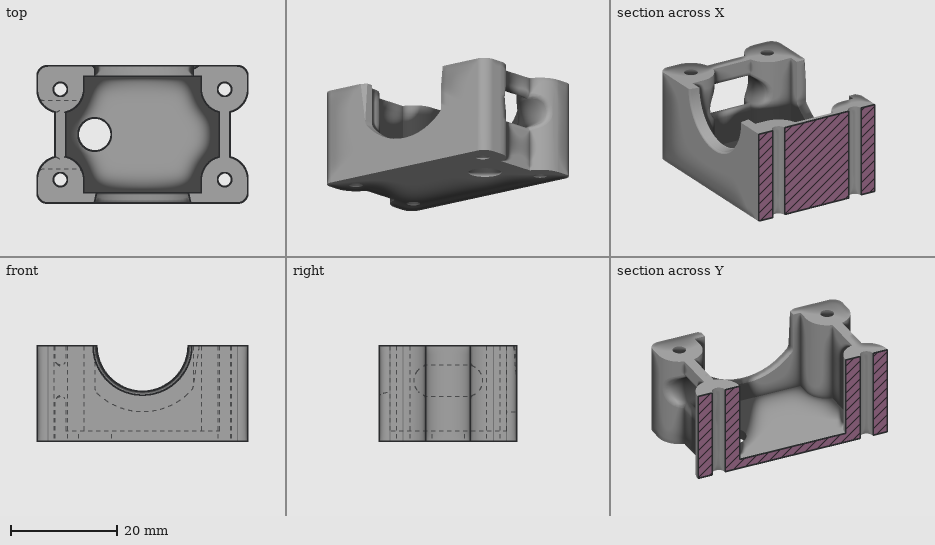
import cadquery as cq
import math

height = 18.0
depth = 25.9
length = 39.74
wall = 2.0
floor = 2.0
corner_radius = 2.0

boss_radius = 4.4
screw_diameter = 2.58
boss_x = length / 2 - boss_radius
boss_y = 8.5
boss_signs = [(sx, sy) for sx in (-1, 1) for sy in (-1, 1)]

cavity_length = 29.0
cavity_depth = depth - 2 * wall
body_length = cavity_length + 2 * wall

floor_hole_diameter = 6.2
floor_hole_x = -9.0

saddle_inner_radius = 8.6
saddle_lip_radius = 8.7
saddle_taper_radius = 8.97
saddle_mouth_radius = 9.32
saddle_lip_width = 0.23
saddle_rounding = 0.5
saddle_bulge = 0.07

opening_radius = 12.4
opening_left = -8.95
opening_right = 9.54
opening_left_corner = 1.0
opening_right_corner = 1.5

flare_right = (1.1, 0.65, 7.5)
flare_left = (0.45, 0.5, 4.0)

window_height = 6.0
window_centers = 6.9
window_z = 11.45
window_rim_gap = 0.002
window_rounding = (wall - window_rim_gap) / 2

cut_margin = 1.0


def corner_post(sx, sy):
    """Boss merging into the rounded outer corner of the part."""
    boss = cq.Workplane("XY").center(sx * boss_x, sy * boss_y).circle(boss_radius).extrude(height)
    block_depth = depth / 2 - boss_y
    block = (
        cq.Workplane("XY")
        .box(2 * boss_radius, block_depth, height, centered=(True, True, False))
        .translate((sx * boss_x, sy * (boss_y + block_depth / 2), 0))
    )
    outer_edge = cq.selectors.NearestToPointSelector((sx * length / 2, sy * depth / 2, height / 2))
    return boss.union(block.edges("|Z").edges(outer_edge).fillet(corner_radius))


def make_shell():
    shell = cq.Workplane("XY").box(body_length, depth, height, centered=(True, True, False))
    cavity = (
        cq.Workplane("XY")
        .workplane(offset=floor)
        .rect(cavity_length, cavity_depth)
        .extrude(height)
    )
    shell = shell.cut(cavity)
    for sx, sy in boss_signs:
        shell = shell.union(corner_post(sx, sy))
    return shell


def make_window():
    """Obround cutter that passes through the -X wall and its two bosses."""
    window_start = -length / 2 - cut_margin
    window_end = -boss_x + boss_radius + cut_margin
    return (
        cq.Workplane("YZ", origin=(window_start, 0, window_z))
        .slot2D(window_centers + window_height, window_height)
        .extrude(window_end - window_start)
    )


def window_rim(shell):
    """Rim edges of the window on both sides of the -X wall and its bosses."""
    margin = 0.1
    reach_y = (window_centers + window_height) / 2 + margin
    reach_z = window_height / 2 + margin
    selector = cq.selectors.BoxSelector(
        (-length / 2, -reach_y, window_z - reach_z),
        (-boss_x + boss_radius, reach_y, window_z + reach_z),
    )
    return shell.edges(selector).edges("not(|Z or |X)")


def make_saddle():
    """Tapered round cutter about a Y axis at the top of the -Y wall."""
    inner_y = -cavity_depth / 2
    lip_y = inner_y - saddle_lip_width
    outer_y = -depth / 2
    rounding_y = outer_y + saddle_rounding
    bulge_point = (
        (saddle_taper_radius + saddle_mouth_radius) / 2 - saddle_bulge,
        (rounding_y + outer_y) / 2 - saddle_bulge,
    )
    profile = (
        cq.Workplane("XY")
        .moveTo(0, inner_y)
        .lineTo(saddle_inner_radius, inner_y)
        .lineTo(saddle_lip_radius, lip_y)
        .lineTo(saddle_taper_radius, rounding_y)
        .threePointArc(bulge_point, (saddle_mouth_radius, outer_y))
        .lineTo(0, outer_y)
        .close()
    )
    return profile.revolve(360, (0, 0, 0), (0, 1, 0)).translate((0, 0, height))


def make_opening():
    """Cutter through the +Y wall: flat sides, arc bottom, rounded lower corners."""
    left_z = height - math.sqrt(opening_radius**2 - opening_left**2)
    right_z = height - math.sqrt(opening_radius**2 - opening_right**2)
    start_y = cavity_depth / 2
    cutter = (
        cq.Workplane("XZ", origin=(0, start_y, 0))
        .moveTo(opening_left, height)
        .lineTo(opening_left, left_z)
        .threePointArc((0, height - opening_radius), (opening_right, right_z))
        .lineTo(opening_right, height)
        .close()
        .extrude(-wall)
    )
    left_corner = cq.selectors.NearestToPointSelector((opening_left, depth / 2, left_z))
    cutter = cutter.edges("|Y").edges(left_corner).fillet(opening_left_corner)
    right_corner = cq.selectors.NearestToPointSelector((opening_right, depth / 2, right_z))
    return cutter.edges("|Y").edges(right_corner).fillet(opening_right_corner)


def make_flare(side_x, direction, size):
    """Wedge cutter that tapers from the top face down to a point on the outer edge."""
    width, inset, drop = size
    outer_y = depth / 2
    corner = cq.Vector(side_x, outer_y, height)
    side = cq.Vector(side_x + direction * width, outer_y, height)
    inner = cq.Vector(side_x, outer_y - inset, height)
    tip = cq.Vector(side_x, outer_y, height - drop)
    triangles = [(corner, side, inner), (corner, side, tip), (corner, inner, tip), (side, inner, tip)]
    faces = [cq.Face.makeFromWires(cq.Wire.makePolygon(list(t), close=True)) for t in triangles]
    return cq.Workplane(cq.Solid.makeSolid(cq.Shell.makeShell(faces)))


def make_part():
    part = make_shell().cut(make_window())
    part = window_rim(part).fillet(window_rounding)
    part = part.cut(make_saddle()).cut(make_opening())
    part = part.cut(make_flare(opening_right, 1, flare_right))
    part = part.cut(make_flare(opening_left, -1, flare_left))
    screw_points = [(sx * boss_x, sy * boss_y) for sx, sy in boss_signs]
    screw_holes = cq.Workplane("XY").pushPoints(screw_points).circle(screw_diameter / 2).extrude(height)
    floor_hole = cq.Workplane("XY").center(floor_hole_x, 0).circle(floor_hole_diameter / 2).extrude(floor)
    return part.cut(screw_holes).cut(floor_hole)


result = make_part()